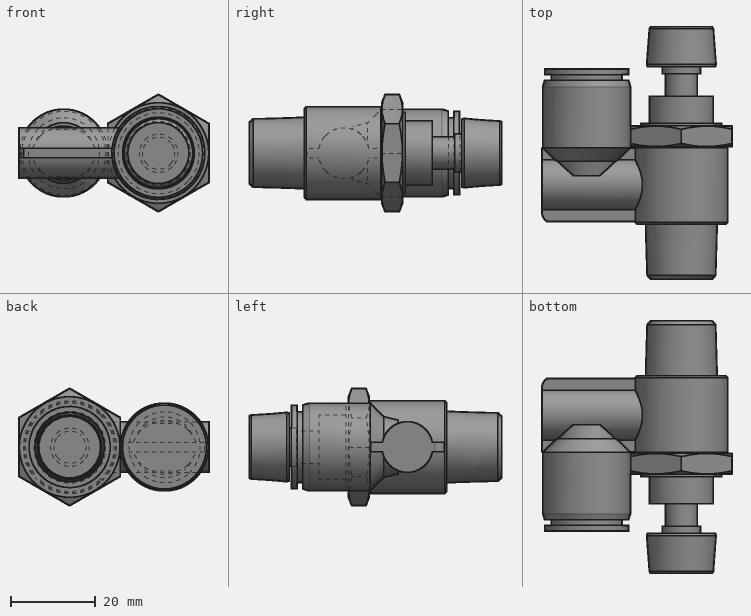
import cadquery as cq
import math


def turned(profile, axis_x):
    """Revolve (diameter, y) points about a line parallel to Y at x = axis_x."""
    points = [(diameter / 2, y) for diameter, y in profile]
    outline = [(0, points[0][1])] + points + [(0, points[-1][1])]
    return cq.Workplane("XY").polyline(outline).close().revolve(360, (0, 0), (0, 1)).translate((axis_x, 0, 0))


overall_length = 59.8

spigot_chamfer = 0.95
spigot_face_dia = 14.4
spigot_small_dia = 16.25
spigot_large_dia = 17.0
body_dia = 22.0
body_start = 13.05
body_end = 31.4
body_front_chamfer = 0.55
body_back_chamfer = 0.25

hex_across_flats = 24.05
hex_across_corners = hex_across_flats / math.cos(math.pi / 6)
hex_end = 36.3
hex_chamfer_length = 0.8
hex_face_dia = 23.8

washer_dia = 19.2
washer_end = 36.9
collar_dia = 15.2
collar_end = 43.35
stem_dia = 7.6
stem_end = 48.6
stem_collar_dia = 9.1
knob_start = 50.3
knob_large_dia = 16.45
knob_small_dia = 15.2
knob_base_chamfer = 0.6
knob_base_inset = 0.2
knob_top_chamfer_length = 0.5
knob_top_inset = 0.3

arm_dia = 12.0
arm_y = 22.35
arm_end_x = -33.0
rib_height = 17.35
rib_thickness = 2.15
rib_corner_width = 1.2
rib_corner_height = 2.2
rib_corner_bulge = 0.3

socket_x = -22.4
socket_dia = 20.8
socket_tip_y = 24.55
socket_tip_dia = 12.8
socket_cone_y = 27.9
socket_cone_dia = 14.35
socket_start = 31.15
socket_end = 47.1
socket_chamfer_length = 1.5
release_dia = 19.85
release_groove_dia = 16.8
release_start = 48.4
release_end = 49.8


def valve():
    return turned(
        [
            (spigot_face_dia, 0),
            (spigot_small_dia, spigot_chamfer),
            (spigot_large_dia, body_start),
            (body_dia - 2 * body_front_chamfer, body_start),
            (body_dia, body_start + body_front_chamfer),
            (body_dia, body_end - body_back_chamfer),
            (body_dia - 2 * body_back_chamfer, body_end),
            (washer_dia, body_end),
            (washer_dia, washer_end),
            (collar_dia, washer_end),
            (collar_dia, collar_end),
            (stem_dia, collar_end),
            (stem_dia, stem_end),
            (stem_collar_dia, stem_end),
            (stem_collar_dia, knob_start),
            (knob_large_dia - 2 * knob_base_inset, knob_start),
            (knob_large_dia, knob_start + knob_base_chamfer),
            (knob_small_dia, overall_length - knob_top_chamfer_length),
            (knob_small_dia - 2 * knob_top_inset, overall_length),
        ],
        0,
    )


def hex_nut():
    prism = (
        cq.Workplane("XZ", origin=(0, body_end, 0))
        .polygon(6, hex_across_corners)
        .extrude(body_end - hex_end)
        .rotate((0, 0, 0), (0, 1, 0), 30)
    )
    envelope = turned(
        [
            (hex_face_dia, body_end),
            (hex_across_corners, body_end + hex_chamfer_length),
            (hex_across_corners, hex_end - hex_chamfer_length),
            (hex_face_dia, hex_end),
        ],
        0,
    )
    return prism.intersect(envelope)


def arm():
    bar = cq.Workplane("YZ", origin=(arm_end_x, arm_y, 0)).circle(arm_dia / 2).extrude(-arm_end_x)
    rib_bottom = arm_y - rib_height / 2
    rib_top = arm_y + rib_height / 2
    chord = math.hypot(rib_corner_width, rib_corner_height)
    arc_middle = (
        arm_end_x + rib_corner_width / 2 - rib_corner_bulge * rib_corner_height / chord,
        rib_bottom + rib_corner_height / 2 - rib_corner_bulge * rib_corner_width / chord,
    )
    rib = (
        cq.Workplane("XY")
        .moveTo(0, rib_bottom)
        .lineTo(0, rib_top)
        .lineTo(arm_end_x, rib_top)
        .lineTo(arm_end_x, rib_bottom + rib_corner_height)
        .threePointArc(arc_middle, (arm_end_x + rib_corner_width, rib_bottom))
        .close()
        .extrude(rib_thickness / 2, both=True)
    )
    return bar.union(rib)


def socket():
    return turned(
        [
            (socket_tip_dia, socket_tip_y),
            (socket_cone_dia, socket_cone_y),
            (socket_dia, socket_start),
            (socket_dia, socket_end - socket_chamfer_length),
            (release_dia, socket_end),
            (release_groove_dia, socket_end),
            (release_groove_dia, release_start),
            (release_dia, release_start),
            (release_dia, release_end),
        ],
        socket_x,
    )


result = valve().union(hex_nut()).union(arm()).union(socket())